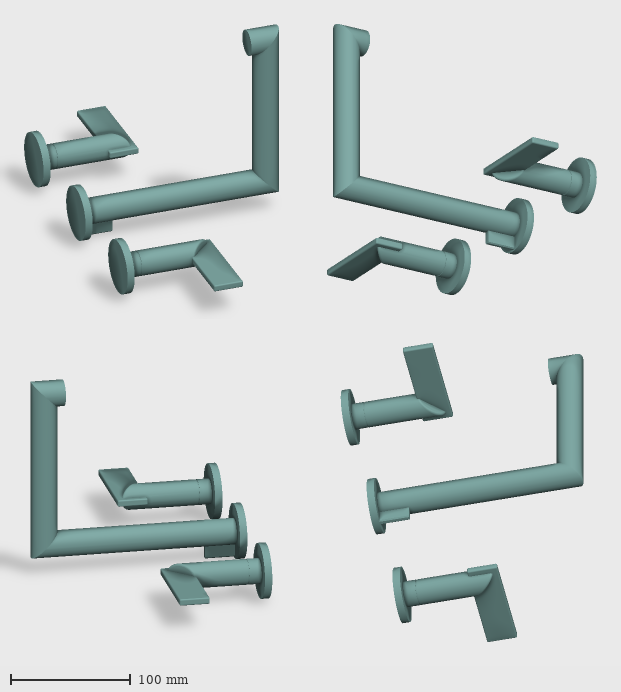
import cadquery as cq
total_width = 333.2
total_depth = 180.0
total_height = 168.0

plate_diameter = 47.0
plate_radius = plate_diameter / 2
plate_thickness = 6.3

tube_diameter = 22.3
tube_radius = tube_diameter / 2
outlet_length = 27.5
riser_y = total_depth - tube_radius
outlet_z = total_height - plate_radius - tube_radius
outlet_face_y = total_depth - outlet_length

block_reach = 31.5
block_width = 4.5
block_bottom_z = -22.0
block_edge_chamfer = 1.0

handle_spacing = 101.5
post_diameter = 21.5
post_radius = post_diameter / 2
post_length = 85.3
mitre_fillet = 1.5
groove_y = 16.5
groove_width = 1.0
groove_depth = 0.5
lever_length = 80.5
lever_width = 25.5
lever_thickness = 5.5
lever_back_y = 87.5
lever_edge_fillet = 1.15
lever_tip_x = total_width / 2


def cylinder_along_y(radius, start_y, end_y, x=0.0):
    """Round bar parallel to Y between two Y positions."""
    return cq.Workplane("XZ", origin=(x, start_y, 0)).circle(radius).extrude(start_y - end_y)


def wall_plate(x=0.0):
    """Round plate that sits against the wall."""
    return cylinder_along_y(plate_radius, 0, plate_thickness, x)


def spout_tube():
    """Round tube swept along the arm, riser and outlet with sharp mitred corners."""
    path = (
        cq.Workplane("YZ")
        .moveTo(0, 0)
        .lineTo(riser_y, 0)
        .lineTo(riser_y, outlet_z)
        .lineTo(outlet_face_y, outlet_z)
    )
    return cq.Workplane("XZ").circle(tube_radius).sweep(path, transition="right")


def spout_block():
    """Narrow block from the arm's axis down to just inside the rim of the wall plate."""
    block_height = -block_bottom_z
    block = cq.Workplane("XY", origin=(0, 0, block_bottom_z)).box(
        block_width, block_reach, block_height, centered=(True, False, False)
    )
    return block.faces("<Z").edges("|Y").chamfer(block_edge_chamfer)


def make_spout():
    """Spout with its wall plate and block, as one solid."""
    return wall_plate().union(spout_tube()).union(spout_block())


def mitre_wedge():
    """Waste removed from the post's end to leave a 45 degree face, long side inboard."""
    inner_x = handle_spacing - post_radius
    outer_x = handle_spacing + post_radius
    return (
        cq.Workplane("XY", origin=(0, 0, -post_radius))
        .moveTo(inner_x, post_length)
        .lineTo(outer_x, post_length - post_diameter)
        .lineTo(outer_x, post_length)
        .close()
        .extrude(post_diameter)
    )


def post_groove():
    """Shallow ring removed around the post near the wall plate."""
    groove_end_y = groove_y + groove_width
    ring = cylinder_along_y(post_radius, groove_y, groove_end_y, handle_spacing)
    core = cylinder_along_y(post_radius - groove_depth, groove_y, groove_end_y, handle_spacing)
    return ring.cut(core)


def handle_post():
    """Grooved post of the right handle with a softened rim around its mitred face."""
    post = cylinder_along_y(post_radius, 0, post_length, handle_spacing).cut(mitre_wedge())
    mitre_direction = cq.Vector(1, 1, 0)
    mitre_face = post.faces(cq.selectors.DirectionMinMaxSelector(mitre_direction))
    return mitre_face.edges().fillet(mitre_fillet).cut(post_groove())


def handle_lever():
    """Flat lever of the right handle with softened edges."""
    lever_center = (lever_tip_x - lever_length / 2, lever_back_y - lever_width / 2, 0)
    lever = cq.Workplane("XY", origin=lever_center).box(lever_length, lever_width, lever_thickness)
    return lever.edges().fillet(lever_edge_fillet)


def make_right_handle():
    """Right handle with its wall plate, post and lever, as one solid."""
    return wall_plate(handle_spacing).union(handle_post()).union(handle_lever())


spout = make_spout()
right_handle = make_right_handle()
left_handle = right_handle.mirror("YZ")

result = cq.Compound.makeCompound([spout.val(), right_handle.val(), left_handle.val()])